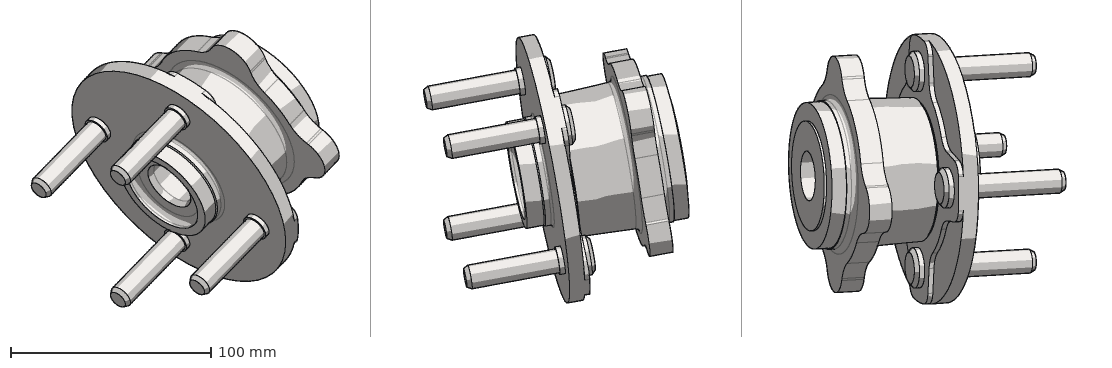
import cadquery as cq
import math


plate_radius = 67.5
plate_thickness = 7.8
star_back = 10.4
star_hub_radius = 44.8
arm_root = 40.5
arm_half_width = 18.5
arm_taper = math.radians(8.4)
arm_corner_radius = 8.0
arm_fillet = 12.5

stud_count = 4
stud_circle_radius = 50.0
stud_radius = 6.1
stud_tip = -49.7
stud_tip_chamfer = 1.4
stud_tip_length = 2.4
collar_radius = 7.0
collar_length = 2.7
head_radius = 10.1
head_rim_height = 2.7
head_height = 4.7
head_chamfer = 2.2

seal_radius = 34.7
seal_back = 11.0
neck_radius = 32.5
body_front = 11.6
body_front_radius = 36.0
body_radius = 37.3
spigot_front = 59.5
spigot_radius = 36.7
spigot_back = 67.1
end_ring_radius = 27.5
end_ring_back = 68.3
body_fillet = 2.7

flange_front = 42.7
flange_back = 54.4
flange_radius = 46.5
lobe_center_radius = 46.8
lobe_tip_radius = 13.1
lobe_flare = math.radians(22)
lobe_fillet = 18.0
lobe_angles = (10, 90, 190, 270)

pilot_front = -13.5
pilot_radius = 27.1
pilot_root_front = -4.2
pilot_shoulder_front = -4.9
pilot_root_radius = 27.7
pilot_fillet = 1.4
bore_radius = 12.4
bore_mouth_radius = 13.5
bore_mouth = -7.7
bore_mouth_end = -4.3
recess_radius = 22.4
recess_floor = -8.5
recess_fillet = 3.5


def turned(points):
    """Solid of revolution about Y from a closed outline of (radius, y) points."""
    return cq.Workplane("XY").polyline(points).close().revolve(360, (0, 0), (0, 1))


def plane_at(y):
    """Workplane at height y whose local axes are X and Z; a negative extrusion goes toward +Y."""
    return cq.Workplane("XZ", origin=(0, y, 0))


def disc(radius, front, back):
    return plane_at(front).circle(radius).extrude(front - back)


def turn_about_axis(solid, angle):
    """Turn about the Y axis, by degrees from +X toward +Z."""
    return solid.rotate((0, 0, 0), (0, -1, 0), angle)


def axial_edges_at(solid, radius):
    """Edges parallel to Y that lie at the given distance from the axis."""
    tolerance = 0.01
    return solid.edges("|Y").filter(
        lambda edge: abs(math.hypot(edge.Center().x, edge.Center().z) - radius) < tolerance
    )


def star_arm():
    length = plate_radius - arm_root
    tip_half_width = arm_half_width - length * math.tan(arm_taper)
    outline = [
        (0, -arm_half_width),
        (arm_root, -arm_half_width),
        (plate_radius, -tip_half_width),
        (plate_radius, tip_half_width),
        (arm_root, arm_half_width),
        (0, arm_half_width),
    ]
    arm = plane_at(plate_thickness).polyline(outline).close().extrude(plate_thickness - star_back)
    arm = arm.intersect(disc(plate_radius, plate_thickness, star_back))
    return axial_edges_at(arm, plate_radius).fillet(arm_corner_radius)


def wheel_plate():
    star = disc(star_hub_radius, plate_thickness, star_back)
    for i in range(stud_count):
        star = star.union(turn_about_axis(star_arm(), i * 360 / stud_count))
    star = axial_edges_at(star, star_hub_radius).fillet(arm_fillet)
    lowered_area = disc(plate_radius, plate_thickness, star_back).cut(star)
    return disc(plate_radius, 0, star_back).cut(lowered_area)


def stud():
    head_top = star_back + head_height
    return turned([
        (0, stud_tip),
        (stud_radius - stud_tip_chamfer, stud_tip),
        (stud_radius, stud_tip + stud_tip_length),
        (stud_radius, -collar_length),
        (collar_radius, -collar_length),
        (collar_radius, star_back),
        (head_radius, star_back),
        (head_radius, star_back + head_rim_height),
        (head_radius - head_chamfer, head_top),
        (0, head_top),
    ]).translate((stud_circle_radius, 0, 0))


def flange_lobe():
    """Lobe toward +X: a round tip whose tangent sides spread until they meet the flange disc."""
    side_x = lobe_center_radius + lobe_tip_radius * math.sin(lobe_flare)
    side_z = lobe_tip_radius * math.cos(lobe_flare)
    root_x = flange_radius - lobe_tip_radius
    root_z = side_z + (side_x - root_x) * math.tan(lobe_flare)
    return (
        plane_at(flange_front)
        .moveTo(root_x, -root_z)
        .lineTo(side_x, -side_z)
        .threePointArc((lobe_center_radius + lobe_tip_radius, 0), (side_x, side_z))
        .lineTo(root_x, root_z)
        .close()
        .extrude(flange_front - flange_back)
    )


def mounting_flange():
    flange = disc(flange_radius, flange_front, flange_back)
    for angle in lobe_angles:
        flange = flange.union(turn_about_axis(flange_lobe(), angle))
    return axial_edges_at(flange, flange_radius).fillet(lobe_fillet)


def bearing_body():
    """Turned body; its outline flares in quarter rounds into both faces of the flange."""
    round_mid = body_fillet * (1 - math.sqrt(0.5))
    flare_radius = body_radius + body_fillet
    return (
        cq.Workplane("XY")
        .moveTo(0, plate_thickness)
        .lineTo(seal_radius, plate_thickness)
        .lineTo(seal_radius, seal_back)
        .lineTo(neck_radius, seal_back)
        .lineTo(neck_radius, body_front)
        .lineTo(body_front_radius, body_front)
        .lineTo(body_radius, flange_front - body_fillet)
        .threePointArc(
            (body_radius + round_mid, flange_front - round_mid), (flare_radius, flange_front)
        )
        .lineTo(flare_radius, flange_back)
        .threePointArc(
            (body_radius + round_mid, flange_back + round_mid), (body_radius, flange_back + body_fillet)
        )
        .lineTo(body_radius, spigot_front)
        .lineTo(spigot_radius, spigot_front)
        .lineTo(spigot_radius, spigot_back)
        .lineTo(end_ring_radius, spigot_back)
        .lineTo(end_ring_radius, end_ring_back)
        .lineTo(0, end_ring_back)
        .close()
        .revolve(360, (0, 0), (0, 1))
    )


def pilot():
    round_mid = pilot_fillet * (1 - math.sqrt(0.5))
    return (
        cq.Workplane("XY")
        .moveTo(0, pilot_front)
        .lineTo(pilot_radius, pilot_front)
        .lineTo(pilot_radius, pilot_shoulder_front)
        .lineTo(pilot_root_radius, pilot_root_front)
        .lineTo(pilot_root_radius, -pilot_fillet)
        .threePointArc((pilot_root_radius + round_mid, -round_mid), (pilot_root_radius + pilot_fillet, 0))
        .lineTo(pilot_root_radius + pilot_fillet, plate_thickness)
        .lineTo(0, plate_thickness)
        .close()
        .revolve(360, (0, 0), (0, 1))
    )


def bore():
    """Through bore with a tapered mouth, opening into a round-bottomed recess in the pilot."""
    round_mid = recess_fillet * (1 - math.sqrt(0.5))
    return (
        cq.Workplane("XY")
        .moveTo(0, pilot_front)
        .lineTo(recess_radius, pilot_front)
        .lineTo(recess_radius, recess_floor - recess_fillet)
        .threePointArc(
            (recess_radius - round_mid, recess_floor - round_mid),
            (recess_radius - recess_fillet, recess_floor),
        )
        .lineTo(bore_mouth_radius, bore_mouth)
        .lineTo(bore_radius, bore_mouth_end)
        .lineTo(bore_radius, end_ring_back)
        .lineTo(0, end_ring_back)
        .close()
        .revolve(360, (0, 0), (0, 1))
    )


result = wheel_plate().union(bearing_body()).union(mounting_flange()).union(pilot()).cut(bore())
for i in range(stud_count):
    result = result.union(turn_about_axis(stud(), i * 360 / stud_count))